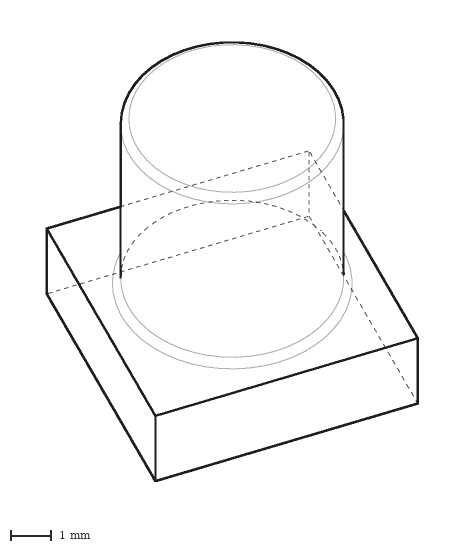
import cadquery as cq

total_height = 8.1
base_side = 7.0
base_height = 2.3
post_diameter = 5.5
edge_radius = 0.2

post_height = total_height - base_height

base = cq.Workplane("XY").box(base_side, base_side, base_height, centered=(True, True, False))

post = (
    cq.Workplane("XY")
    .workplane(offset=base_height)
    .circle(post_diameter / 2)
    .extrude(post_height)
    .faces(">Z")
    .edges()
    .fillet(edge_radius)
)

base_top_center = (0, 0, base_height)
result = (
    base.union(post)
    .edges(cq.selectors.RadiusNthSelector(-1))
    .edges(cq.selectors.NearestToPointSelector(base_top_center))
    .fillet(edge_radius)
)